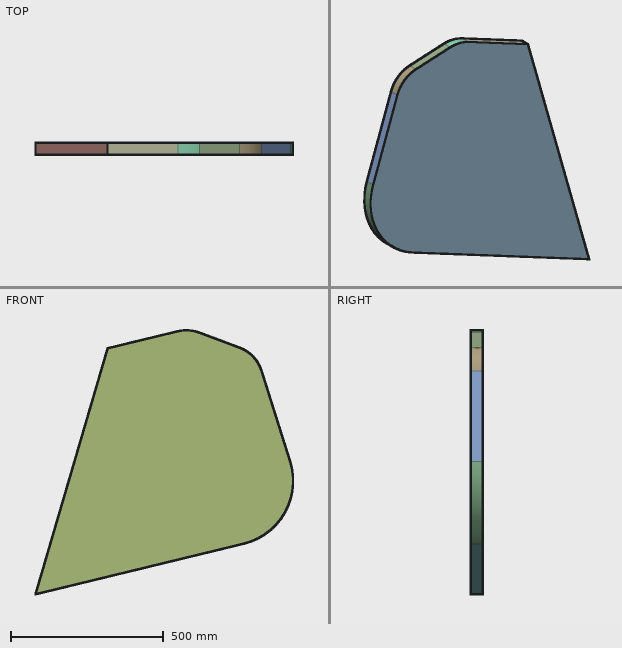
import cadquery as cq
import math

THICKNESS = 39.6

LEFT_EDGE = 841.0
UPPER_EDGE = 273.7
SHOULDER_EDGE = 236.6

LOWER_ANGLE = 13.65
CORNER_ANGLE = 60.0
LEFT_ANGLE = LOWER_ANGLE + CORNER_ANGLE
UPPER_ANGLE = LOWER_ANGLE
SHOULDER_ANGLE = -20.55
RIGHT_ANGLE = -72.5

UPPER_RADIUS = 120.0
LOWER_RIGHT_RADIUS = 212.0


def step(start, length, angle):
    """Point reached from start after a length along a direction in degrees."""
    x, z = start
    direction = math.radians(angle)
    return (x + length * math.cos(direction), z + length * math.sin(direction))


def meet(start, angle, ray_angle):
    """Point where the line through start meets the ray from the origin."""
    x, z = start
    ray = math.radians(ray_angle)
    across = x * math.sin(math.radians(angle)) - z * math.cos(math.radians(angle))
    distance = across / math.sin(math.radians(angle - ray_angle))
    return (distance * math.cos(ray), distance * math.sin(ray))


def round_corner(plate, corner, radius):
    """Round the through-thickness edge at the given outline corner."""
    x, z = corner
    edge = cq.selectors.NearestToPointSelector((x, 0, z))
    return plate.edges("|Y").edges(edge).fillet(radius)


tip = (0.0, 0.0)
upper_left = step(tip, LEFT_EDGE, LEFT_ANGLE)
crown = step(upper_left, UPPER_EDGE, UPPER_ANGLE)
shoulder = step(crown, SHOULDER_EDGE, SHOULDER_ANGLE)
lower_right = meet(shoulder, RIGHT_ANGLE, LOWER_ANGLE)

result = (
    cq.Workplane("XZ")
    .polyline([tip, upper_left, crown, shoulder, lower_right])
    .close()
    .extrude(THICKNESS / 2, both=True)
)

result = round_corner(result, crown, UPPER_RADIUS)
result = round_corner(result, shoulder, UPPER_RADIUS)
result = round_corner(result, lower_right, LOWER_RIGHT_RADIUS)